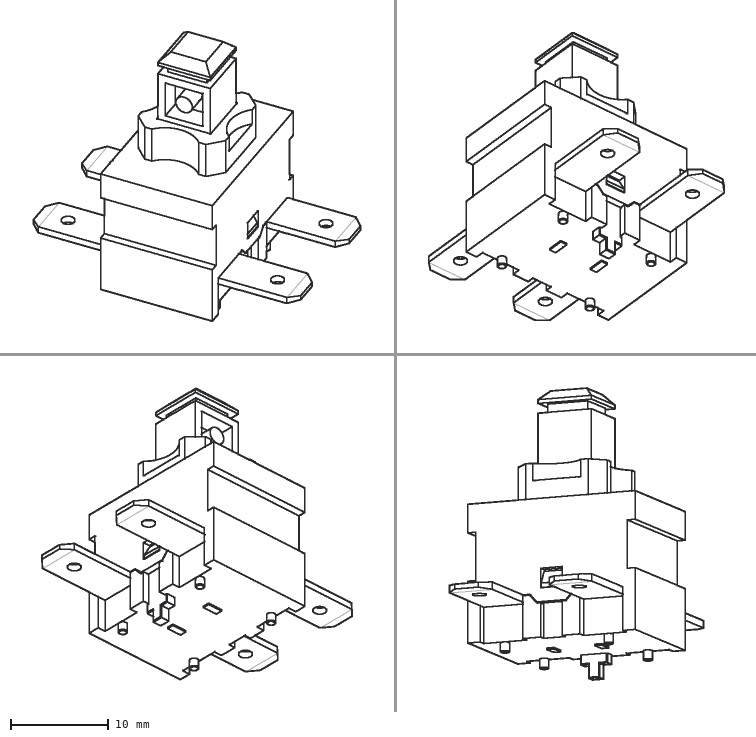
import cadquery as cq

BODY_X = 12.8
BODY_Y = 18.8
NECK_Y = 17.0
BASE_H = 6.45
FLANGE_H = 3.0
BODY_H = 14.5
FACE_X = BODY_X / 2

RECESS_DEPTH = 0.95

TERMINAL_TIP_X = 15.3
TERMINAL_Y = 5.6
TERMINAL_WIDTH = 4.8
TERMINAL_THICK = 0.75
TERMINAL_BOTTOM = 3.8
TERMINAL_TOP = TERMINAL_BOTTOM + TERMINAL_THICK
TIP_CHAMFER = 1.07
TIP_BEVEL = 0.12
TERMINAL_HOLE_D = 1.4
TERMINAL_HOLE_X = 12.0
TERMINAL_EMBED = 0.3
TERMINAL_ROOT_X = FACE_X - RECESS_DEPTH - TERMINAL_EMBED

SLOT_WIDTH = 2.4
SLOT_DEPTH = 0.75
SEAM_HEIGHT = 0.1
SEAM_DIP_Z = 3.7
SEAM_DIP_HALF = 1.62
SEAM_SHOULDER_HALF = 2.45
RIB_HALF = TERMINAL_Y - TERMINAL_WIDTH / 2

WINDOW_BOTTOM = 5.17
WINDOW_H = 2.02
WINDOW_DEPTH = 0.85
LUG_INSET = 0.1
LUG_FRONT_H = 0.5
LUG_H = 1.85

KEY_THICK = 1.2
KEY_SHOULDER_WIDTH = 3.0
KEY_SHOULDER_H = 1.0
KEY_TIP_WIDTH = 1.22
KEY_H = 2.48
KEY_CHAMFER = 0.1

FOOT_D = 0.95
FOOT_H = 1.0
FOOT_CHAMFER = 0.1
FOOT_X = 5.0
FOOT_Y = 5.8
PAD_X = 1.8
PAD_Y = 0.8
PAD_H = 0.15
PAD_CENTER_X = -0.35
PAD_CENTER_Y = 2.7

COLLAR_SIZE = 10.0
COLLAR_H = 4.0
COLLAR_CHAMFER = 1.5
SCALLOP_CHORD = 5.4
SCALLOP_DEPTH = 1.2
SIDE_SCALLOP_H = 1.8
COLLAR_TOP = BODY_H + COLLAR_H

PLUNGER_SIZE = 6.0
PLUNGER_H = 5.6
PLUNGER_GAP = 0.1
NECK_SIZE = 4.5
NECK_H = 1.0
CAP_RIM_H = 0.4
CAP_SLOPE_H = 1.0
CAP_TOP_SIZE = 4.0
CAVITY_WIDTH = 4.28
CAVITY_H = 4.1
CAVITY_DEPTH = 2.25
CAVITY_FLOOR = COLLAR_TOP + 0.58
PEG_D = 1.9
PEG_Z = COLLAR_TOP + 2.63


def block(size_x, size_y, height, bottom, x=0, y=0):
    """A box centred on (x, y), standing on the height `bottom`."""
    return cq.Workplane("XY", origin=(x, y, bottom)).rect(size_x, size_y).extrude(height)


def on_minus_side(part):
    """Turn a feature of the +X side half a turn about Z, to the -X side."""
    return part.rotate((0, 0, 0), (0, 0, 1), 180)


def make_terminal():
    """One terminal of the +X side: corners cut off and the tip thinned on both faces."""
    half_width = TERMINAL_WIDTH / 2
    bevel_start = TERMINAL_TIP_X - TIP_CHAMFER
    profile = (
        cq.Workplane("XZ")
        .moveTo(TERMINAL_ROOT_X, TERMINAL_BOTTOM)
        .lineTo(bevel_start, TERMINAL_BOTTOM)
        .lineTo(TERMINAL_TIP_X, TERMINAL_BOTTOM + TIP_BEVEL)
        .lineTo(TERMINAL_TIP_X, TERMINAL_TOP - TIP_BEVEL)
        .lineTo(bevel_start, TERMINAL_TOP)
        .lineTo(TERMINAL_ROOT_X, TERMINAL_TOP)
        .close()
        .extrude(half_width, both=True)
    )
    outline = (
        cq.Workplane("XY", origin=(0, 0, TERMINAL_BOTTOM))
        .moveTo(TERMINAL_ROOT_X, -half_width)
        .lineTo(bevel_start, -half_width)
        .lineTo(TERMINAL_TIP_X, -half_width + TIP_CHAMFER)
        .lineTo(TERMINAL_TIP_X, half_width - TIP_CHAMFER)
        .lineTo(bevel_start, half_width)
        .lineTo(TERMINAL_ROOT_X, half_width)
        .close()
        .extrude(TERMINAL_THICK)
    )
    hole = (
        cq.Workplane("XY", origin=(TERMINAL_HOLE_X, 0, TERMINAL_BOTTOM))
        .circle(TERMINAL_HOLE_D / 2)
        .extrude(TERMINAL_THICK)
    )
    return profile.intersect(outline).cut(hole)


def make_seam():
    """The narrow gap between base and cover on the +X side, dipping around the tongue."""
    top = [
        (-RIB_HALF, TERMINAL_TOP),
        (-SEAM_SHOULDER_HALF, TERMINAL_TOP),
        (-SEAM_DIP_HALF, SEAM_DIP_Z),
        (SEAM_DIP_HALF, SEAM_DIP_Z),
        (SEAM_SHOULDER_HALF, TERMINAL_TOP),
        (RIB_HALF, TERMINAL_TOP),
    ]
    bottom = [(y, z - SEAM_HEIGHT) for y, z in reversed(top)]
    start = cq.Workplane("YZ", origin=(FACE_X - SLOT_DEPTH, 0, 0))
    return start.polyline(top + bottom).close().extrude(SLOT_DEPTH)


def make_snap_window():
    """A window in the +X face, with the sloped lug that stays inside it."""
    back = FACE_X - WINDOW_DEPTH
    front = FACE_X - LUG_INSET
    opening = block(WINDOW_DEPTH, SLOT_WIDTH, WINDOW_H, WINDOW_BOTTOM, x=FACE_X - WINDOW_DEPTH / 2)
    lug = (
        cq.Workplane("XZ")
        .moveTo(back, WINDOW_BOTTOM)
        .lineTo(front, WINDOW_BOTTOM)
        .lineTo(front, WINDOW_BOTTOM + LUG_FRONT_H)
        .lineTo(back, WINDOW_BOTTOM + LUG_H)
        .close()
        .extrude(SLOT_WIDTH / 2, both=True)
    )
    return opening.cut(lug)


def make_side_cuts():
    """All cuts in the +X face: terminal recesses, tongue slot, seam and snap window."""
    recess_x = FACE_X - RECESS_DEPTH / 2
    cuts = block(SLOT_DEPTH, SLOT_WIDTH, SEAM_DIP_Z, 0, x=FACE_X - SLOT_DEPTH / 2)
    for y in (-TERMINAL_Y, TERMINAL_Y):
        cuts = cuts.union(block(RECESS_DEPTH, TERMINAL_WIDTH, TERMINAL_TOP, 0, x=recess_x, y=y))
    return cuts.union(make_seam()).union(make_snap_window())


def make_housing():
    housing = block(BODY_X, NECK_Y, BODY_H, 0)
    housing = housing.union(block(BODY_X, BODY_Y, BASE_H, 0))
    housing = housing.union(block(BODY_X, BODY_Y, FLANGE_H, BODY_H - FLANGE_H))
    side_cuts = make_side_cuts()
    return housing.cut(side_cuts).cut(on_minus_side(side_cuts))


def make_underside():
    """Key pin, round feet and pads that stand below the base."""
    key_x = -FACE_X + SLOT_DEPTH + KEY_THICK / 2
    parts = block(KEY_THICK, KEY_SHOULDER_WIDTH, KEY_SHOULDER_H, -KEY_SHOULDER_H, x=key_x)
    parts = parts.union(block(KEY_THICK, KEY_TIP_WIDTH, KEY_H, -KEY_H, x=key_x))
    parts = parts.faces("<X or >X").edges("not >Z").chamfer(KEY_CHAMFER)
    for side in (-1, 1):
        parts = parts.union(block(PAD_X, PAD_Y, PAD_H, -PAD_H, x=PAD_CENTER_X, y=side * PAD_CENTER_Y))
    feet = (
        cq.Workplane("XY")
        .rect(2 * FOOT_X, 2 * FOOT_Y, forConstruction=True)
        .vertices()
        .circle(FOOT_D / 2)
        .extrude(-FOOT_H)
        .faces("<Z")
        .chamfer(FOOT_CHAMFER)
    )
    return parts.union(feet)


def make_scallop(angle, height):
    """An arc-shaped bite cut down from the collar's top, on the side at `angle` degrees."""
    edge = COLLAR_SIZE / 2
    half_chord = SCALLOP_CHORD / 2
    bite = (
        cq.Workplane("XY", origin=(0, 0, COLLAR_TOP - height))
        .moveTo(edge, -half_chord)
        .threePointArc((edge - SCALLOP_DEPTH, 0), (edge, half_chord))
        .close()
        .extrude(height)
    )
    return bite.rotate((0, 0, 0), (0, 0, 1), angle)


def make_collar():
    """Scalloped collar with a square guide hole that clears the plunger all round."""
    collar = block(COLLAR_SIZE, COLLAR_SIZE, COLLAR_H, BODY_H).edges("|Z").chamfer(COLLAR_CHAMFER)
    for angle in (0, 180):
        collar = collar.cut(make_scallop(angle, SIDE_SCALLOP_H))
    for angle in (90, 270):
        collar = collar.cut(make_scallop(angle, COLLAR_H))
    guide_size = PLUNGER_SIZE + 2 * PLUNGER_GAP
    return collar.cut(block(guide_size, guide_size, COLLAR_H, BODY_H))


def make_plunger():
    """Square plunger with a front cavity and peg, carrying a bevelled cap on a neck."""
    front_y = -PLUNGER_SIZE / 2
    plunger = block(PLUNGER_SIZE, PLUNGER_SIZE, COLLAR_H + PLUNGER_H, BODY_H)
    plunger = plunger.cut(
        block(CAVITY_WIDTH, CAVITY_DEPTH, CAVITY_H, CAVITY_FLOOR, y=front_y + CAVITY_DEPTH / 2)
    )
    peg = cq.Workplane("XZ", origin=(0, front_y, PEG_Z)).circle(PEG_D / 2).extrude(-CAVITY_DEPTH)
    neck_bottom = COLLAR_TOP + PLUNGER_H
    neck = block(NECK_SIZE, NECK_SIZE, NECK_H, neck_bottom)
    rim_bottom = neck_bottom + NECK_H
    rim = block(PLUNGER_SIZE, PLUNGER_SIZE, CAP_RIM_H, rim_bottom)
    slope = (
        cq.Workplane("XY", origin=(0, 0, rim_bottom + CAP_RIM_H))
        .rect(PLUNGER_SIZE, PLUNGER_SIZE)
        .workplane(offset=CAP_SLOPE_H)
        .rect(CAP_TOP_SIZE, CAP_TOP_SIZE)
        .loft(ruled=True)
    )
    return plunger.union(peg).union(neck).union(rim).union(slope)


result = make_housing().union(make_underside()).union(make_collar()).union(make_plunger())
terminal = make_terminal()
for y in (-TERMINAL_Y, TERMINAL_Y):
    placed = terminal.translate((0, y, 0))
    result = result.union(placed).union(on_minus_side(placed))